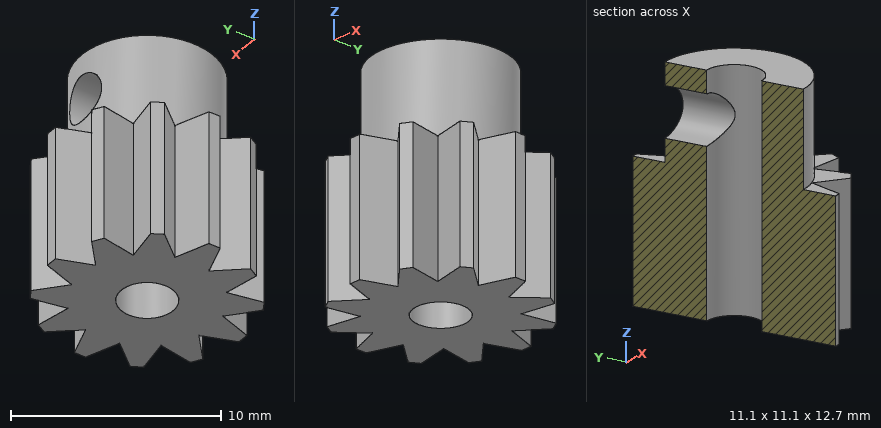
import cadquery as cq
import math

total_height = 12.7
gear_height = 7.62
tooth_count = 12
tip_to_tip = 11.13
tip_width = 0.66
root_radius = 3.82
hub_diameter = 7.62
bore_diameter = 3.0
screw_hole_diameter = 2.64

hub_height = total_height - gear_height
screw_hole_height = gear_height + hub_height / 2


def rotated(point, angle):
    """Turn a point about the gear axis by an angle in radians."""
    x, y = point
    return (
        x * math.cos(angle) - y * math.sin(angle),
        x * math.sin(angle) + y * math.cos(angle),
    )


def make_gear():
    """Straight-sided teeth that meet in sharp V-shaped roots."""
    pitch_angle = 2 * math.pi / tooth_count
    outline = []
    for tooth in range(tooth_count):
        angle = tooth * pitch_angle
        outline.append(rotated((tip_to_tip / 2, -tip_width / 2), angle))
        outline.append(rotated((tip_to_tip / 2, tip_width / 2), angle))
        outline.append(rotated((root_radius, 0), angle + pitch_angle / 2))
    return cq.Workplane("XY").polyline(outline).close().extrude(gear_height)


def make_hub():
    """Plain cylinder standing on the gear."""
    return cq.Workplane("XY").workplane(offset=gear_height).circle(hub_diameter / 2).extrude(hub_height)


def make_bore():
    """Shaft hole through the full height."""
    return cq.Workplane("XY").circle(bore_diameter / 2).extrude(total_height)


def make_screw_hole():
    """Radial hole from the bore out through the +Y side of the hub."""
    return (
        cq.Workplane("XZ")
        .center(0, screw_hole_height)
        .circle(screw_hole_diameter / 2)
        .extrude(-hub_diameter / 2)
    )


result = make_gear().union(make_hub()).cut(make_bore()).cut(make_screw_hole())